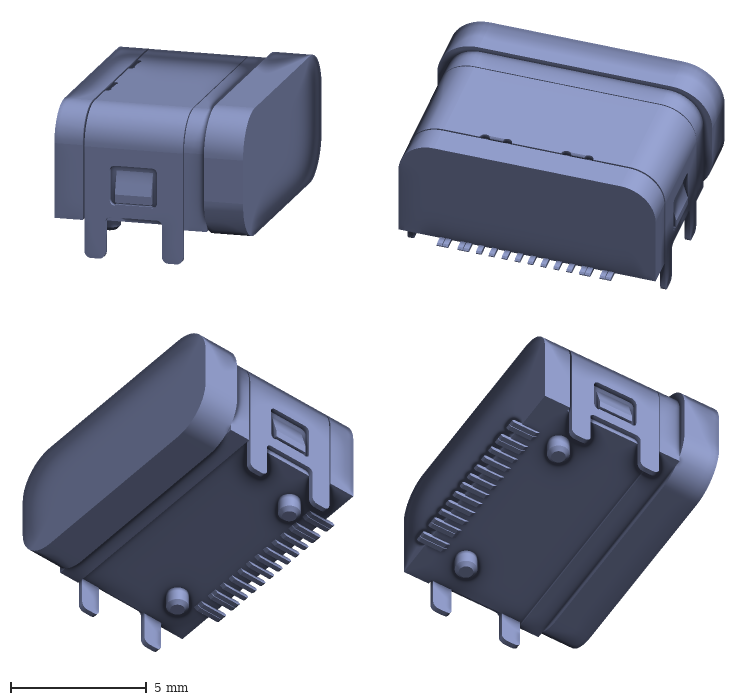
import cadquery as cq


flange_length = 1.5
flange_width = 10.64
flange_bottom = 1.0
flange_top = 5.85
flange_radius = 1.6

shell_front = -2.4
shell_length = 3.77
shell_back = shell_front - shell_length
shell_width = 9.98
shell_top = flange_top - 0.2
shell_radius = 1.39
sheet = 0.2
leg_width = 0.8
leg_gap_width = shell_length - 2 * leg_width
leg_gap_top = 1.62
leg_gap_radius = 0.19
foot_radius = 0.25

window_x = -4.3
window_width = 1.82
window_bottom = 2.07
window_top = 3.6
window_radius = 0.2
window_lip_height = 0.04

tongue_y = 1.57
tongue_relief_offset = 0.43
tongue_relief_radius = 0.19
tongue_setback = 0.07
tongue_chamfer = 0.07

body_width = 9.95
body_top = shell_top
body_radius = 1.36
body_bottom = 1.43
collar_bottom = 1.32
front_groove = 0.04
back_groove = 0.07
body_back = -7.33
core_width = shell_width - 2 * sheet
core_top = shell_top - sheet
core_radius = 1.49

latch_width = 1.39
latch_bottom = 2.2
latch_crest = 2.51
latch_top = 3.37
latch_reach = shell_width / 2 + 0.05

peg_x = -5.69
peg_y = 3.26
peg_diameter = 0.84
peg_bottom = 0.69
peg_chamfer = 0.15

contact_tip = -7.75
contact_length = 1.17
contact_bottom = collar_bottom
contact_thickness = 0.15
contact_tip_taper_length = 0.07
contact_tip_taper_height = 0.05
contact_heel_length = 0.14
contact_heel_rise = 0.09
contact_width = 0.2
single_count = 8
single_pitch = 0.5
pair_centres = (2.35, 3.15)
pair_gap = 0.02


def arch(x_start, x_end, width, bottom, top, radius):
    """Block along X whose two top edges are rounded."""
    height = top - bottom
    block = cq.Workplane("XY").box(x_end - x_start, width, height)
    block = block.edges("|X and >Z").fillet(radius)
    return block.translate(((x_start + x_end) / 2, 0, bottom + height / 2))


def make_flange():
    """Mating flange, rounded at all four corners."""
    height = flange_top - flange_bottom
    flange = cq.Workplane("XY").box(flange_length, flange_width, height)
    flange = flange.edges("|X").fillet(flange_radius)
    return flange.translate((-flange_length / 2, 0, flange_bottom + height / 2))


def make_latch():
    """Wedge on the +Y side that ramps out from the core through the shell's window."""
    core_side = core_width / 2
    return (
        cq.Workplane("YZ", origin=(window_x, 0, 0))
        .moveTo(0, latch_top)
        .lineTo(core_side, latch_top)
        .lineTo(latch_reach, latch_crest)
        .lineTo(latch_reach, latch_bottom)
        .lineTo(0, latch_bottom)
        .close()
        .extrude(latch_width / 2, both=True)
    )


def make_peg():
    """Locating peg on the +Y side with a chamfered tip."""
    peg = (
        cq.Workplane("XY", origin=(peg_x, peg_y, peg_bottom))
        .circle(peg_diameter / 2)
        .extrude(body_bottom - peg_bottom)
    )
    return peg.faces("<Z").chamfer(peg_chamfer)


def make_contact(y):
    """Flat contact with a tapered tip and a heel that rises into the housing."""
    heel = contact_tip + contact_length
    top = contact_bottom + contact_thickness
    taper_end = contact_tip + contact_tip_taper_length
    return (
        cq.Workplane("XZ", origin=(0, y, 0))
        .moveTo(contact_tip, top - contact_tip_taper_height)
        .lineTo(taper_end, top)
        .lineTo(heel, top)
        .lineTo(heel, contact_bottom + contact_heel_rise)
        .lineTo(heel - contact_heel_length, contact_bottom)
        .lineTo(taper_end, contact_bottom)
        .lineTo(contact_tip, contact_bottom + contact_tip_taper_height)
        .close()
        .extrude(contact_width / 2, both=True)
    )


def contact_positions():
    """Y positions of all contacts."""
    row_middle = (single_count - 1) / 2
    positions = [single_pitch * (i - row_middle) for i in range(single_count)]
    half_spacing = (contact_width + pair_gap) / 2
    for centre in pair_centres:
        for side in (-1, 1):
            positions.append(side * centre - half_spacing)
            positions.append(side * centre + half_spacing)
    return positions


def make_housing():
    """Flange, collar, core and back block with latches, pegs and contacts."""
    collar_back = shell_front + front_groove
    block_front = shell_back - back_groove
    collar = arch(collar_back, -flange_length, body_width, collar_bottom, body_top, body_radius)
    core = arch(block_front, collar_back, core_width, body_bottom, core_top, core_radius)
    block = arch(body_back, block_front, body_width, body_bottom, body_top, body_radius)
    housing = make_flange().union(collar).union(core).union(block)
    for feature in (make_latch(), make_peg()):
        housing = housing.union(feature).union(feature.mirror("XZ"))
    for y in contact_positions():
        housing = housing.union(make_contact(y))
    return housing


def make_leg_gap():
    """Opening between the legs, cut across both side walls."""
    gap = cq.Workplane("XY").box(leg_gap_width, shell_width, leg_gap_top)
    gap = gap.edges("|Y and >Z").fillet(leg_gap_radius)
    return gap.translate(((shell_front + shell_back) / 2, 0, leg_gap_top / 2))


def make_windows():
    """Openings through both side walls, leaving a lip under each latch."""
    height = window_top - window_bottom
    opening = cq.Workplane("XY").box(window_width, shell_width, height)
    opening = opening.edges("|Y").fillet(window_radius)
    opening = opening.translate((window_x, 0, window_bottom + height / 2))
    lip = (
        cq.Workplane("XY", origin=(window_x, 0, window_bottom))
        .box(latch_width, shell_width, 2 * window_lip_height)
    )
    return opening.cut(lip)


def make_tongue_cut(y):
    """Recess in the roof's back edge: two round reliefs beside a set-back, chamfered tongue."""
    cut = (
        cq.Workplane("XY", origin=(shell_back, y, core_top))
        .pushPoints([(0, -tongue_relief_offset), (0, tongue_relief_offset)])
        .circle(tongue_relief_radius)
        .extrude(sheet)
    )
    tongue_edge = shell_back + tongue_setback
    setback = (
        cq.Workplane("XZ", origin=(0, y, 0))
        .moveTo(shell_back, core_top)
        .lineTo(tongue_edge, core_top)
        .lineTo(tongue_edge, shell_top - tongue_chamfer)
        .lineTo(tongue_edge + tongue_chamfer, shell_top)
        .lineTo(shell_back, shell_top)
        .close()
        .extrude(tongue_relief_offset, both=True)
    )
    return cut.union(setback)


def make_shell():
    """Sheet bent over the core, with two legs on each side."""
    shell = arch(shell_back, shell_front, shell_width, 0, shell_top, shell_radius)
    shell = shell.cut(arch(shell_back, shell_front, core_width, 0, core_top, core_radius))
    shell = shell.cut(make_leg_gap())
    shell = shell.faces("<Z").edges("|Y").fillet(foot_radius)
    shell = shell.cut(make_windows())
    for side in (-1, 1):
        shell = shell.cut(make_tongue_cut(side * tongue_y))
    return shell


housing = make_housing()
shell = make_shell()
result = cq.Compound.makeCompound([housing.val(), shell.val()])